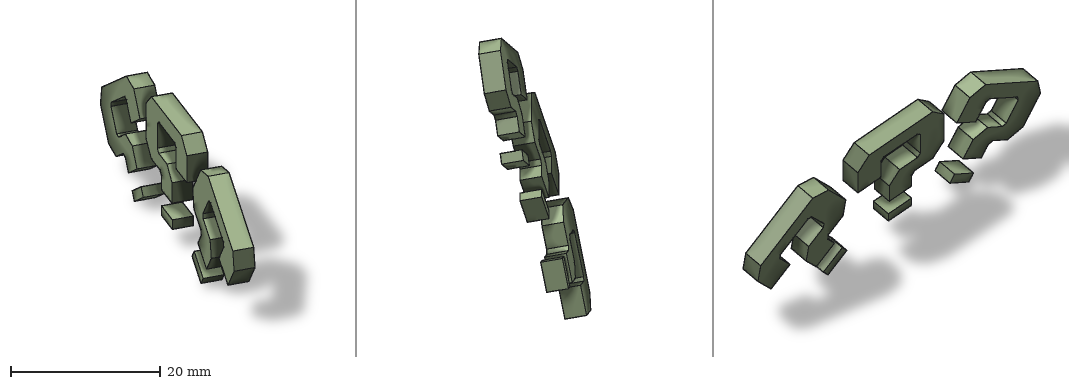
import cadquery as cq

thickness = 3.0

hook_left = -8.1
hook_width = 15.55
hook_height = 12.3
outer_chamfer = 2.05
end_drop = 6.2

top_bar = 2.45
left_bar = 4.3
right_arm = 4.2
opening_floor = 7.25
inner_chamfer = 0.5

lower_bar_bottom = 9.55
stem_offset = 5.85
stem_width = 4.05
stem_chamfer = 1.9
stem_inner_chamfer = 0.6

dot_width = 4.2
dot_height = 1.5
dot_gap = 2.45

tilt = 35.0
placements = [
    (-20.05, -4.9, tilt),
    (0.0, 0.0, 0.0),
    (20.55, -4.45, -tilt),
]

hook_right = hook_left + hook_width
stem_left = hook_left + stem_offset
stem_right = stem_left + stem_width
opening_left = hook_left + left_bar
opening_right = hook_right - right_arm


def place(body, x_shift, z_shift, angle):
    """Lean a body in the XZ plane about its frame origin, then shift it."""
    return body.rotate((0, 0, 0), (0, -1, 0), angle).translate((x_shift, 0, z_shift))


def make_hook():
    """Angular hook of a question mark, with all its bends chamfered."""
    outline = [
        (hook_left + outer_chamfer, 0),
        (hook_right - outer_chamfer, 0),
        (hook_right, -outer_chamfer),
        (hook_right, -end_drop),
        (opening_right, -end_drop),
        (opening_right, -top_bar - inner_chamfer),
        (opening_right - inner_chamfer, -top_bar),
        (opening_left + inner_chamfer, -top_bar),
        (opening_left, -top_bar - inner_chamfer),
        (opening_left, -opening_floor + inner_chamfer),
        (opening_left + inner_chamfer, -opening_floor),
        (stem_right - stem_chamfer, -opening_floor),
        (stem_right, -opening_floor - stem_chamfer),
        (stem_right, -hook_height),
        (stem_left, -hook_height),
        (stem_left, -lower_bar_bottom - stem_inner_chamfer),
        (stem_left - stem_inner_chamfer, -lower_bar_bottom),
        (hook_left + outer_chamfer, -lower_bar_bottom),
        (hook_left, -lower_bar_bottom + outer_chamfer),
        (hook_left, -outer_chamfer),
    ]
    return cq.Workplane("XZ").polyline(outline).close().extrude(thickness / 2, both=True)


def make_dot():
    """Rectangular dot below the stem, starting at the left side of the stem."""
    center_x = stem_left + dot_width / 2
    center_z = -hook_height - dot_gap - dot_height / 2
    return cq.Workplane("XY").box(dot_width, thickness, dot_height).translate((center_x, 0, center_z))


bodies = []
for placement in placements:
    bodies.append(place(make_hook(), *placement).val())
    bodies.append(place(make_dot(), *placement).val())

result = cq.Compound.makeCompound(bodies)